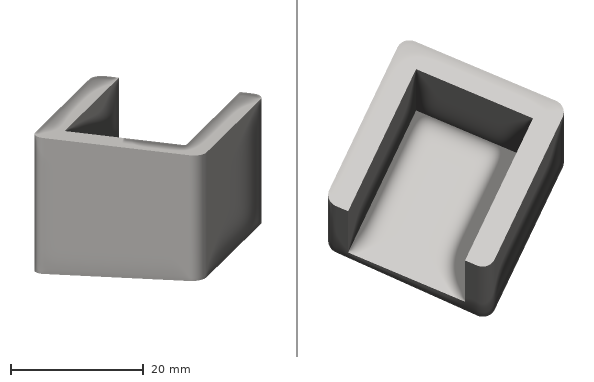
import math

import cadquery as cq

width = 27.3
depth = 29.0
short_side_height = 20.0
base_slope_degrees = 4.0
corner_radius = 2.0

wall = 4.0
floor_thickness = 2.0

base_drop = width * math.tan(math.radians(base_slope_degrees))
pocket_width = width - 2 * wall
pocket_length = depth - wall
pocket_height = short_side_height - floor_thickness


def make_block():
    """Block with a level top, a sloped base and rounded vertical edges."""
    profile = [
        (0, -base_drop),
        (width, 0),
        (width, short_side_height),
        (0, short_side_height),
    ]
    block = cq.Workplane("XZ").polyline(profile).close().extrude(-depth)
    return block.edges("|Z").fillet(corner_radius)


def make_pocket():
    """Rectangular space with a level floor, leaving a wall on three sides."""
    pocket = cq.Workplane("XY").box(pocket_width, pocket_length, pocket_height, centered=False)
    return pocket.translate((wall, wall, floor_thickness))


result = make_block().cut(make_pocket())